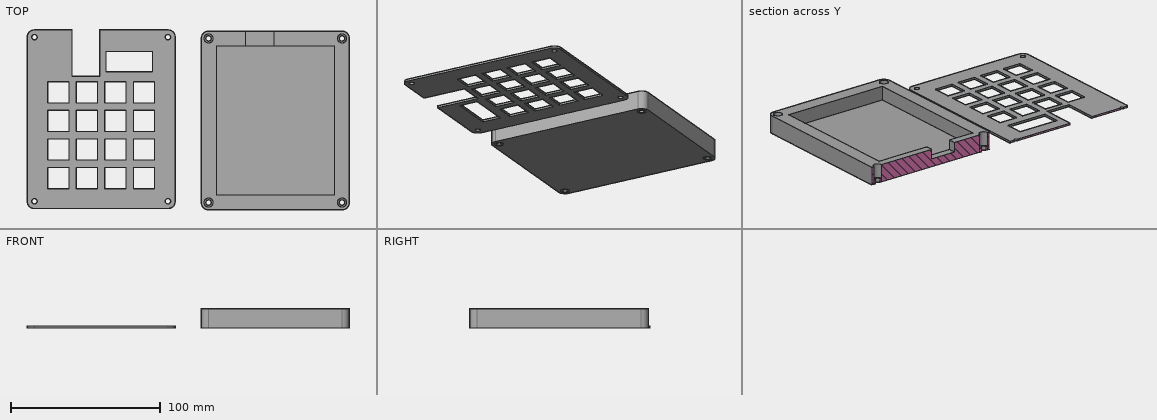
import cadquery as cq

BODY_WIDTH = 99.0
BODY_LENGTH = 119.5
CORNER_RADIUS = 5.0
CLEARANCE_DIAMETER = 3.5

OVERALL_WIDTH = 215.2
CASE_X = OVERALL_WIDTH - BODY_WIDTH
OVERALL_LENGTH = 120.3
CASE_Y = BODY_LENGTH - OVERALL_LENGTH

PLATE_THICKNESS = 1.5
KEY_COUNT = 4
KEY_SIZE = 14.0
KEY_FIELD = 76.2
KEY_PITCH = KEY_FIELD / KEY_COUNT
KEY_FIRST_X = (BODY_WIDTH - KEY_FIELD + KEY_PITCH) / 2
KEY_FIRST_Y = 20.5
PLATE_NOTCH_X = 30.1
PLATE_NOTCH_WIDTH = 18.3
PLATE_NOTCH_DEPTH = 31.0
WINDOW_X = 52.7
WINDOW_Y = 91.5
WINDOW_WIDTH = 31.0
WINDOW_LENGTH = 13.3

CASE_HEIGHT = 13.0
FLOOR_THICKNESS = 3.0
WALL_THICKNESS = 10.1
POCKET_WIDTH = BODY_WIDTH - 2 * WALL_THICKNESS
POCKET_LENGTH = BODY_LENGTH - 2 * WALL_THICKNESS
CABLE_NOTCH_X = 29.7
CABLE_NOTCH_WIDTH = 19.0
CABLE_NOTCH_DEPTH = 6.9

INSERT_DIAMETER = 6.0
INSERT_HEIGHT = FLOOR_THICKNESS

SCREW_POINTS = [
    (x, y)
    for x in (CORNER_RADIUS, BODY_WIDTH - CORNER_RADIUS)
    for y in (CORNER_RADIUS, BODY_LENGTH - CORNER_RADIUS)
]


def corner_box(x, y, z, width, length, height):
    """Box whose lowest corner is at (x, y, z)."""
    return cq.Workplane("XY").box(width, length, height, centered=False).translate((x, y, z))


def rounded_slab(height):
    """Footprint with rounded corners, standing on Z = 0."""
    return corner_box(0, 0, 0, BODY_WIDTH, BODY_LENGTH, height).edges("|Z").fillet(CORNER_RADIUS)


def screw_cylinders(diameter, height):
    """Vertical cylinders at the four screw positions."""
    return cq.Workplane("XY").pushPoints(SCREW_POINTS).circle(diameter / 2).extrude(height)


def make_plate():
    plate = rounded_slab(PLATE_THICKNESS)
    plate = plate.cut(screw_cylinders(CLEARANCE_DIAMETER, PLATE_THICKNESS))

    key_points = [
        (KEY_FIRST_X + column * KEY_PITCH, KEY_FIRST_Y + row * KEY_PITCH)
        for column in range(KEY_COUNT)
        for row in range(KEY_COUNT)
    ]
    keys = cq.Workplane("XY").pushPoints(key_points).rect(KEY_SIZE, KEY_SIZE).extrude(PLATE_THICKNESS)
    plate = plate.cut(keys)

    notch_y = BODY_LENGTH - PLATE_NOTCH_DEPTH
    plate = plate.cut(
        corner_box(PLATE_NOTCH_X, notch_y, 0, PLATE_NOTCH_WIDTH, PLATE_NOTCH_DEPTH, PLATE_THICKNESS)
    )

    return plate.cut(corner_box(WINDOW_X, WINDOW_Y, 0, WINDOW_WIDTH, WINDOW_LENGTH, PLATE_THICKNESS))


def make_case():
    case = rounded_slab(CASE_HEIGHT)
    case = case.cut(screw_cylinders(INSERT_DIAMETER, CASE_HEIGHT))

    pocket_depth = CASE_HEIGHT - FLOOR_THICKNESS
    case = case.cut(
        corner_box(
            WALL_THICKNESS, WALL_THICKNESS, FLOOR_THICKNESS, POCKET_WIDTH, POCKET_LENGTH, pocket_depth
        )
    )

    notch_y = BODY_LENGTH - WALL_THICKNESS
    notch_z = CASE_HEIGHT - CABLE_NOTCH_DEPTH
    case = case.cut(
        corner_box(
            CABLE_NOTCH_X, notch_y, notch_z, CABLE_NOTCH_WIDTH, WALL_THICKNESS, CABLE_NOTCH_DEPTH
        )
    )
    return case.translate((CASE_X, CASE_Y, 0))


def make_insert(x, y):
    """Sleeve filling the lower end of one screw hole in the case."""
    sleeve = cq.Workplane("XY").circle(INSERT_DIAMETER / 2).circle(CLEARANCE_DIAMETER / 2)
    return sleeve.extrude(INSERT_HEIGHT).translate((CASE_X + x, CASE_Y + y, 0))


plate = make_plate()
case = make_case()
inserts = [make_insert(x, y) for x, y in SCREW_POINTS]

result = cq.Compound.makeCompound([plate.val(), case.val(), *[insert.val() for insert in inserts]])